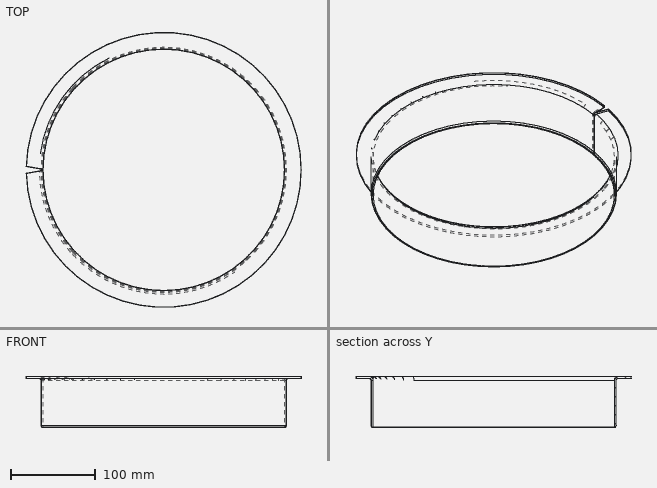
import cadquery as cq
import math

flange_radius = 162.5
wall_outer_radius = 145.0
sheet_thickness = 2.5
total_height = 60.0
bend_inner_radius = 2.0
bottom_chamfer_width = 1.0
bottom_chamfer_height = 2.0
split_width = 1.0
notch_side_angle = 10.0

wall_inner_radius = wall_outer_radius - sheet_thickness
bend_outer_radius = bend_inner_radius + sheet_thickness
bend_center_radius = wall_outer_radius + bend_inner_radius
bend_center_z = total_height - bend_outer_radius
flange_bottom_z = total_height - sheet_thickness


def bend_point(radius):
    """Point halfway round the bend, at the given radius from the bend centre."""
    offset = radius * math.sqrt(0.5)
    return (bend_center_radius - offset, bend_center_z + offset)


def flanged_ring():
    """Thin cylindrical wall bent outward into a flat flange at the top."""
    profile = (
        cq.Workplane("XZ")
        .moveTo(wall_inner_radius, 0)
        .lineTo(wall_inner_radius, bend_center_z)
        .threePointArc(bend_point(bend_outer_radius), (bend_center_radius, total_height))
        .lineTo(flange_radius, total_height)
        .lineTo(flange_radius, flange_bottom_z)
        .lineTo(bend_center_radius, flange_bottom_z)
        .threePointArc(bend_point(bend_inner_radius), (wall_outer_radius, bend_center_z))
        .lineTo(wall_outer_radius, 0)
        .close()
    )
    ring = profile.revolve(360, (0, 0, 0), (0, 1, 0))
    bottom_outer_edge = cq.selectors.RadiusNthSelector(-1)
    return ring.faces("<Z").edges(bottom_outer_edge).chamfer(bottom_chamfer_height, bottom_chamfer_width)


def wall_split():
    """Narrow full-height gap through the -X side of the ring."""
    return (
        cq.Workplane("XY")
        .rect(2 * flange_radius, split_width)
        .extrude(total_height)
        .translate((-flange_radius, 0, 0))
    )


def flange_notch():
    """Wedge that widens the gap outward from the inner wall face, across bend and flange."""
    split_half_width = split_width / 2
    notch_length = flange_radius - wall_inner_radius
    notch_outer_half_width = split_half_width + notch_length * math.tan(math.radians(notch_side_angle))
    return (
        cq.Workplane("XY")
        .workplane(offset=bend_center_z)
        .moveTo(-wall_inner_radius, -split_half_width)
        .lineTo(-flange_radius, -notch_outer_half_width)
        .lineTo(-flange_radius, notch_outer_half_width)
        .lineTo(-wall_inner_radius, split_half_width)
        .close()
        .extrude(bend_outer_radius)
    )


result = flanged_ring().cut(wall_split()).cut(flange_notch())